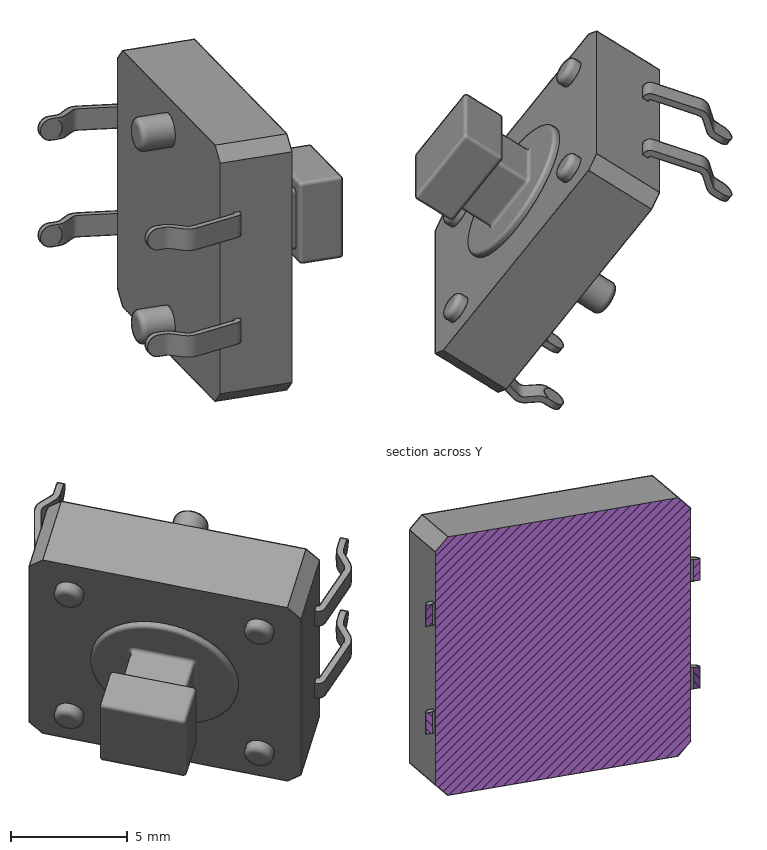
import cadquery as cq
import math


OVERALL_WIDTH = 13.95
OVERALL_LENGTH = 10.8

HOUSING_SIZE = 12.0
HOUSING_DEPTH = 3.3
HOUSING_CHAMFER = 0.6
POST_DIAMETER = 1.5
POST_LENGTH = 1.5
POST_OFFSET = 4.5
RIVET_DIAMETER = 1.25
RIVET_HEIGHT = 0.5
RIVET_OFFSET = 4.2
PEG_ROUNDING = 0.25

DISC_DIAMETER = 6.5
DISC_HEIGHT = 0.29
STEM_SIZE = 2.8
CAP_SIZE = 3.8
CAP_HEIGHT = 2.0
CAP_TOP = 7.3
EDGE_ROUNDING = 0.15
DISC_TOP = HOUSING_DEPTH + DISC_HEIGHT
CAP_BOTTOM = CAP_TOP - CAP_HEIGHT

TERMINAL_WIDTH = 1.0
TERMINAL_THICKNESS = 0.29
TERMINAL_OFFSET = 2.5
EXIT_HEIGHT = 0.75
ELBOW_HEIGHT = -1.75
TIP_HEIGHT = CAP_TOP - OVERALL_LENGTH
TIP_OFFSET = 6.25
UPPER_LEG_ANGLE = math.radians(14.4)
LOWER_LEG_ANGLE = math.radians(39.5)
SHOULDER_RADIUS = 0.21
ELBOW_RADIUS = 0.49


def block(size, bottom, top):
    """Square block centred on the Y axis, between two heights."""
    return cq.Workplane("XY").box(size, top - bottom, size).translate((0, (bottom + top) / 2, 0))


def cylinder_along_y(diameter, bottom, top):
    """Cylinder on the Y axis, between two heights."""
    return cq.Workplane("XZ", origin=(0, top, 0)).circle(diameter / 2).extrude(top - bottom)


def make_housing():
    """Square body with bevelled corners, two bottom posts and four top rivets."""
    housing = block(HOUSING_SIZE, 0, HOUSING_DEPTH).edges("|Y").chamfer(HOUSING_CHAMFER)

    post = cylinder_along_y(POST_DIAMETER, -POST_LENGTH, 0).faces("<Y").edges().fillet(PEG_ROUNDING)
    rivet = cylinder_along_y(RIVET_DIAMETER, HOUSING_DEPTH, HOUSING_DEPTH + RIVET_HEIGHT)
    rivet = rivet.faces(">Y").edges().fillet(PEG_ROUNDING)

    for z_side in (-1, 1):
        housing = housing.union(post.translate((0, 0, z_side * POST_OFFSET)))
        for x_side in (-1, 1):
            rivet_place = (x_side * RIVET_OFFSET, 0, z_side * RIVET_OFFSET)
            housing = housing.union(rivet.translate(rivet_place))
    return housing


def make_plunger():
    """Round disc on the housing with a square stem that carries the cap."""
    disc = cylinder_along_y(DISC_DIAMETER, HOUSING_DEPTH, DISC_TOP)
    stem = block(STEM_SIZE, HOUSING_DEPTH, CAP_BOTTOM).edges("|Y").fillet(EDGE_ROUNDING)
    plunger = disc.union(stem)

    reach = DISC_DIAMETER
    plane_margin = 0.01
    disc_top_edges = cq.selectors.BoxSelector(
        (-reach, DISC_TOP - plane_margin, -reach),
        (reach, DISC_TOP + plane_margin, reach),
    )
    return plunger.edges(disc_top_edges).fillet(EDGE_ROUNDING)


def make_cap():
    """Square key cap with all edges rounded, seated on the end of the stem."""
    return block(CAP_SIZE, CAP_BOTTOM, CAP_TOP).edges().fillet(EDGE_ROUNDING)


def make_terminal():
    """Bent strip on the +X side at Z = 0, with a round tip."""
    bend_centre = OVERALL_WIDTH / 2 - ELBOW_RADIUS - TERMINAL_THICKNESS / 2
    half_turn = (UPPER_LEG_ANGLE + LOWER_LEG_ANGLE) / 2
    tilt = (LOWER_LEG_ANGLE - UPPER_LEG_ANGLE) / 2
    elbow_x = bend_centre + ELBOW_RADIUS * math.cos(tilt) / math.cos(half_turn)
    shoulder_x = elbow_x - (EXIT_HEIGHT - ELBOW_HEIGHT) * math.tan(UPPER_LEG_ANGLE)
    ankle_height = ELBOW_HEIGHT - (elbow_x - TIP_OFFSET) / math.tan(LOWER_LEG_ANGLE)
    tip_centre_height = TIP_HEIGHT + TERMINAL_WIDTH / 2

    start = cq.Vector(HOUSING_SIZE / 2, EXIT_HEIGHT)
    shoulder = cq.Vector(shoulder_x, EXIT_HEIGHT)
    elbow = cq.Vector(elbow_x, ELBOW_HEIGHT)
    ankle = cq.Vector(TIP_OFFSET, ankle_height)
    end = cq.Vector(TIP_OFFSET, tip_centre_height)

    path = cq.Wire.makePolygon([start, shoulder, elbow, ankle, end])
    for corner, radius in ((shoulder, SHOULDER_RADIUS), (elbow, ELBOW_RADIUS), (ankle, ELBOW_RADIUS)):
        vertex = min(path.Vertices(), key=lambda v: (v.Center() - corner).Length)
        path = path.fillet2D(radius, [vertex])

    strip = (
        cq.Workplane("YZ", origin=start.toTuple())
        .rect(TERMINAL_THICKNESS, TERMINAL_WIDTH)
        .sweep(cq.Workplane(path))
    )
    tip_face = TIP_OFFSET - TERMINAL_THICKNESS / 2
    tip = (
        cq.Workplane("YZ", origin=(tip_face, tip_centre_height, 0))
        .circle(TERMINAL_WIDTH / 2)
        .extrude(TERMINAL_THICKNESS)
    )
    return strip.union(tip)


housing = make_housing()
plunger = make_plunger()
cap = make_cap()

right_terminal = make_terminal()
left_terminal = right_terminal.mirror("YZ")
terminals = []
for terminal in (left_terminal, right_terminal):
    for z_side in (-1, 1):
        terminals.append(terminal.translate((0, 0, z_side * TERMINAL_OFFSET)).val())

result = cq.Compound.makeCompound([housing.val(), plunger.val(), cap.val(), *terminals])